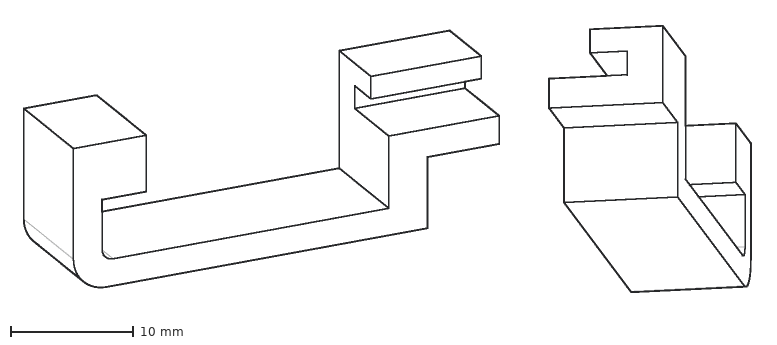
import cadquery as cq

width = 9.46
length = 38.55
height = 12.8

base_thickness = 2.4
outer_bend_radius = 3.0
inner_bend_radius = 1.0

block_length = 10.0
block_height = 6.5
block_overhang = 6.5
notch_width = 3.4
notch_depth = 2.0
undercut_width = 6.5
undercut_height = 2.0

hook_length = 6.6
hook_height = 5.0
hook_wall_thickness = 2.6

block_underside = height - block_height
block_inner_face = length - block_length
leg_outer_face = length - block_overhang
hook_underside = height - hook_height
undercut_ceiling = height - notch_depth


def clip_body():
    """Side profile in the YZ plane, extruded across the full width."""
    outline = (
        cq.Workplane("YZ")
        .moveTo(outer_bend_radius, 0)
        .lineTo(leg_outer_face, 0)
        .lineTo(leg_outer_face, block_underside)
        .lineTo(length, block_underside)
        .lineTo(length, height)
        .lineTo(block_inner_face, height)
        .lineTo(block_inner_face, base_thickness)
        .lineTo(hook_wall_thickness + inner_bend_radius, base_thickness)
        .radiusArc((hook_wall_thickness, base_thickness + inner_bend_radius), inner_bend_radius)
        .lineTo(hook_wall_thickness, hook_underside)
        .lineTo(hook_length, hook_underside)
        .lineTo(hook_length, height)
        .lineTo(0, height)
        .lineTo(0, outer_bend_radius)
        .radiusArc((outer_bend_radius, 0), -outer_bend_radius)
        .close()
    )
    return outline.extrude(width)


def side_cut(cut_width, cut_height, floor_level):
    """Rectangular cut entering the block from +X and running its full length."""
    cut = cq.Workplane("XY").box(cut_width, block_length, cut_height, centered=False)
    return cut.translate((width - cut_width, block_inner_face, floor_level))


def stepped_slot():
    """Top-edge notch with the wider undercut directly below it, leaving a lip over the slot."""
    notch = side_cut(notch_width, notch_depth, undercut_ceiling)
    undercut = side_cut(undercut_width, undercut_height, undercut_ceiling - undercut_height)
    return notch.union(undercut)


result = clip_body().cut(stepped_slot())